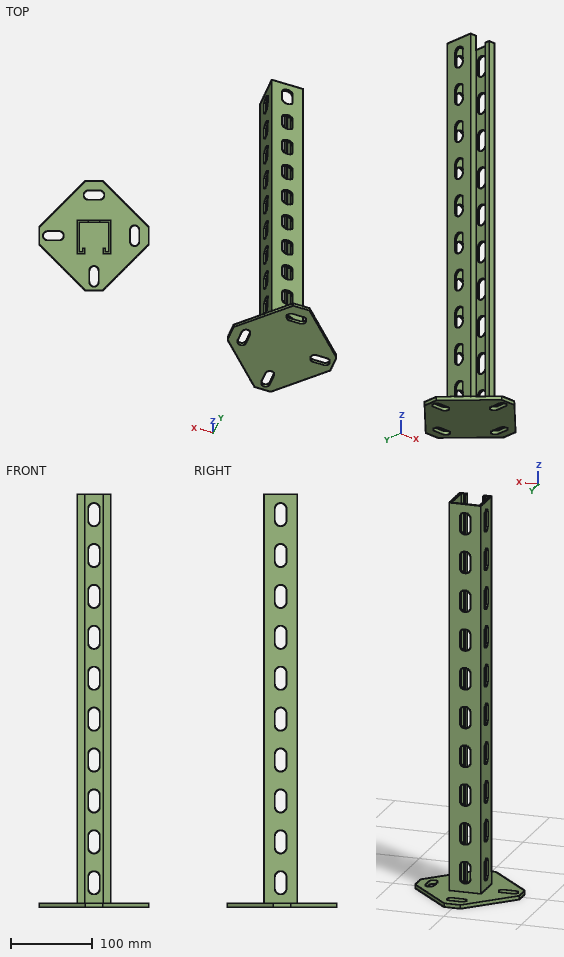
import cadquery as cq
import math

PLATE_SIDE = 110.0
PLATE_CORNER_CUT = 15.0
PLATE_THICKNESS = 5.0

CORNER_FACE_RADIUS = (PLATE_SIDE - PLATE_CORNER_CUT) / math.sqrt(2)

ANCHOR_SLOT_LENGTH = 25.0
ANCHOR_SLOT_WIDTH = 11.0
ANCHOR_INSET = 17.5
ANCHOR_RADIUS = CORNER_FACE_RADIUS - ANCHOR_INSET

CHANNEL_SIZE = 41.0
CHANNEL_LENGTH = 500.0
WALL = 2.5
MOUTH_WIDTH = 22.0
LIP_DEPTH = 7.0
CHANNEL_CENTER_Y = -1.65

SLOT_LENGTH = 28.0
SLOT_WIDTH = 14.0
SLOT_PITCH = 50.0
SLOT_COUNT = int(CHANNEL_LENGTH / SLOT_PITCH)


def make_base_plate():
    plate = (
        cq.Workplane("XY")
        .rect(PLATE_SIDE, PLATE_SIDE)
        .extrude(PLATE_THICKNESS)
        .edges("|Z")
        .chamfer(PLATE_CORNER_CUT)
        .rotate((0, 0, 0), (0, 0, 1), 45)
    )
    anchor_slots = [
        ((ANCHOR_RADIUS, 0), 90),
        ((0, ANCHOR_RADIUS), 0),
        ((-ANCHOR_RADIUS, 0), 0),
        ((0, -ANCHOR_RADIUS), 90),
    ]
    for center, angle in anchor_slots:
        slot = (
            cq.Workplane("XY")
            .center(*center)
            .slot2D(ANCHOR_SLOT_LENGTH, ANCHOR_SLOT_WIDTH, angle)
            .extrude(PLATE_THICKNESS)
        )
        plate = plate.cut(slot)
    return plate


def channel_box(width, y_front, y_back):
    """Full-length bar on the plate, centred in X, spanning y_front to y_back."""
    return (
        cq.Workplane("XY", origin=(0, (y_front + y_back) / 2, PLATE_THICKNESS))
        .rect(width, y_back - y_front)
        .extrude(CHANNEL_LENGTH)
    )


def slot_column(plane, origin, depth):
    """Cutters for one column of upright slots, starting at the channel's foot."""
    first_slot_z = PLATE_THICKNESS + SLOT_PITCH / 2
    centers = [(0, first_slot_z + i * SLOT_PITCH) for i in range(SLOT_COUNT)]
    return (
        cq.Workplane(plane, origin=origin)
        .pushPoints(centers)
        .slot2D(SLOT_LENGTH, SLOT_WIDTH, 90)
        .extrude(depth)
    )


def make_channel():
    front = CHANNEL_CENTER_Y - CHANNEL_SIZE / 2
    back = CHANNEL_CENTER_Y + CHANNEL_SIZE / 2
    inner_width = CHANNEL_SIZE - 2 * WALL
    lips_width = MOUTH_WIDTH + 2 * WALL

    outer = channel_box(CHANNEL_SIZE, front, back)
    cavity = channel_box(inner_width, front + WALL, back - WALL)
    lips = channel_box(lips_width, front, front + LIP_DEPTH)
    mouth = channel_box(MOUTH_WIDTH, front, front + LIP_DEPTH)
    channel = outer.cut(cavity).union(lips).cut(mouth)

    back_slots = slot_column("XZ", (0, back, 0), WALL)
    side_slots = slot_column("YZ", (-CHANNEL_SIZE / 2, CHANNEL_CENTER_Y, 0), CHANNEL_SIZE)
    return channel.cut(back_slots).cut(side_slots)


base_plate = make_base_plate()
channel = make_channel()

result = cq.Compound.makeCompound([base_plate.val(), channel.val()])